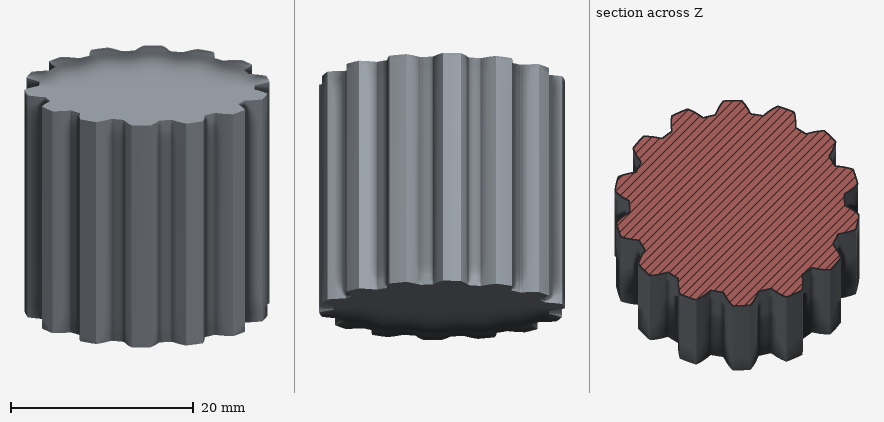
import cadquery as cq
import math

TOOTH_COUNT = 14
HEIGHT = 25.68
TIP_RADIUS = 13.45
ROOT_RADIUS = 11.8
TIP_HALF_WIDTH = 1.0
ROOT_HALF_WIDTH = 1.95
FLANK_BULGE = 0.08
ROOT_FILLET = 0.2

PITCH_ANGLE = 2 * math.pi / TOOTH_COUNT
TIP_HALF_ANGLE = math.asin(TIP_HALF_WIDTH / TIP_RADIUS)
ROOT_HALF_ANGLE = math.asin(ROOT_HALF_WIDTH / ROOT_RADIUS)


def polar(radius, angle):
    """Point at the given angle, measured clockwise from +Y."""
    return (radius * math.sin(angle), radius * math.cos(angle))


def flank_middle(start, end):
    """Middle point of a flank, bowed to the left of the direction of travel."""
    dx = end[0] - start[0]
    dy = end[1] - start[1]
    length = math.hypot(dx, dy)
    return (
        (start[0] + end[0]) / 2 - FLANK_BULGE * dy / length,
        (start[1] + end[1]) / 2 + FLANK_BULGE * dx / length,
    )


def add_tooth(outline, center):
    """Add one tooth and the root gap after it, going clockwise."""
    left_root = polar(ROOT_RADIUS, center - ROOT_HALF_ANGLE)
    left_tip = polar(TIP_RADIUS, center - TIP_HALF_ANGLE)
    right_tip = polar(TIP_RADIUS, center + TIP_HALF_ANGLE)
    right_root = polar(ROOT_RADIUS, center + ROOT_HALF_ANGLE)
    gap_center = center + PITCH_ANGLE / 2
    next_root = center + PITCH_ANGLE - ROOT_HALF_ANGLE

    outline = outline.threePointArc(flank_middle(left_root, left_tip), left_tip)
    outline = outline.threePointArc(polar(TIP_RADIUS, center), right_tip)
    outline = outline.threePointArc(flank_middle(right_tip, right_root), right_root)
    return outline.threePointArc(polar(ROOT_RADIUS, gap_center), polar(ROOT_RADIUS, next_root))


def make_gear():
    outline = cq.Workplane("XY").moveTo(*polar(ROOT_RADIUS, -ROOT_HALF_ANGLE))
    for tooth in range(TOOTH_COUNT):
        outline = add_tooth(outline, tooth * PITCH_ANGLE)
    return outline.close().extrude(HEIGHT)


def is_root_corner(edge):
    """True for an upright edge where a flank meets the root."""
    point = edge.Center()
    return math.hypot(point.x, point.y) < (ROOT_RADIUS + TIP_RADIUS) / 2


def round_root_corners(gear):
    corners = [edge for edge in gear.edges("|Z").vals() if is_root_corner(edge)]
    return gear.newObject(corners).fillet(ROOT_FILLET)


result = round_root_corners(make_gear())